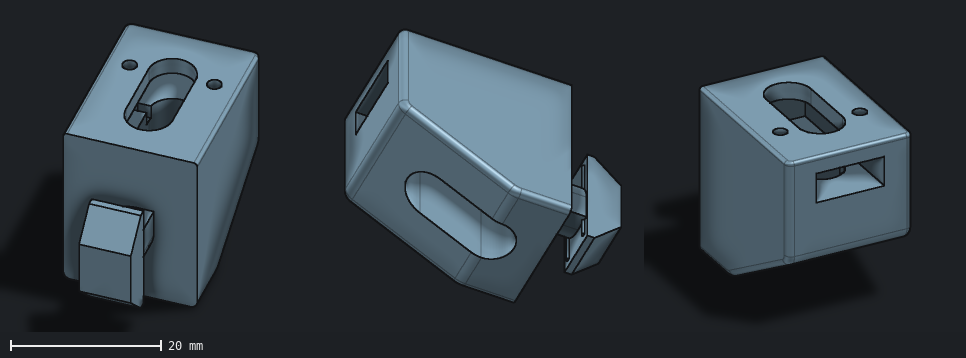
import cadquery as cq
import math

body_width = 19.0
body_depth = 25.0
body_height = 25.0
flat_bottom_depth = 8.25
underside_angle = math.radians(30)
back_corner_radius = 2.0
bottom_corner_radius = 3.0
side_edge_radius = 1.0
top_edge_radius = 0.52

slot_width = 6.65
slot_length = 15.65
slot_center_y = 11.97
roof_thickness = 2.5
channel_width = 10.25
channel_height = 4.4
channel_front_wall = 2.5
channel_top = body_height - roof_thickness
channel_floor = channel_top - channel_height
notch_length = 1.55
notch_depth = 2.1

pin_hole_diameter = 2.0
pin_hole_x = 6.0
pin_hole_y = 16.4

total_depth = 34.9
head_thickness = 5.0
head_width = 7.33
head_height = 16.0
head_rim = 1.05
key_center_z = 11.03
neck_width = slot_width
neck_height = 7.95
neck_corner_radius = 4.05
key_length = total_depth - body_depth
neck_length = key_length - head_thickness

ridge_radius = 0.28
ridge_length = 13.45
ridge_x = 2.48


def centered_box(width, y_start, y_end, z_start, z_end):
    """Box centred on X, given by its Y and Z limits."""
    return cq.Workplane("XY").box(
        width, y_end - y_start, z_end - z_start, centered=(True, False, False)
    ).translate((0, y_start, z_start))


def make_body():
    slope_rise = (body_depth - flat_bottom_depth) * math.tan(underside_angle)
    block = (
        cq.Workplane("YZ")
        .polyline([
            (0, 0),
            (flat_bottom_depth, 0),
            (body_depth, slope_rise),
            (body_depth, body_height),
            (0, body_height),
        ])
        .close()
        .extrude(body_width / 2, both=True)
    )
    back_corner = cq.selectors.NearestToPointSelector((0, body_depth, slope_rise))
    bottom_corner = cq.selectors.NearestToPointSelector((0, flat_bottom_depth, 0))
    block = block.edges(back_corner).fillet(back_corner_radius)
    block = block.edges(bottom_corner).fillet(bottom_corner_radius)

    block = block.faces("<X or >X").edges("not (<Y or >Z)").fillet(side_edge_radius)
    return block.faces(">Z").edges("not <Y").fillet(top_edge_radius)


def make_screw_slot():
    return (
        cq.Workplane("XY")
        .center(0, slot_center_y)
        .slot2D(slot_length, slot_width, 90)
        .extrude(body_height)
    )


def make_nut_channel():
    """Channel open at the back, with a cross notch in its floor in line with the pin holes."""
    channel = centered_box(channel_width, channel_front_wall, body_depth, channel_floor, channel_top)
    notch = centered_box(
        channel_width,
        pin_hole_y - notch_length / 2,
        pin_hole_y + notch_length / 2,
        channel_floor - notch_depth,
        channel_floor,
    )
    return channel.union(notch)


def make_pin_holes():
    return (
        cq.Workplane("XY", origin=(0, 0, channel_top))
        .pushPoints([(-pin_hole_x, pin_hole_y), (pin_hole_x, pin_hole_y)])
        .circle(pin_hole_diameter / 2)
        .extrude(roof_thickness)
    )


def make_neck():
    """Neck with two diagonally opposite corners rounded so that the key can turn in its groove."""
    neck = centered_box(
        neck_width, -neck_length, 0, key_center_z - neck_height / 2, key_center_z + neck_height / 2
    )
    neck = neck.edges("|Y and <X and >Z").fillet(neck_corner_radius)
    return neck.edges("|Y and >X and <Z").fillet(neck_corner_radius)


def make_head():
    half_height = head_height / 2
    taper = head_thickness - head_rim
    return (
        cq.Workplane("YZ", origin=(0, -neck_length, key_center_z))
        .polyline([
            (0, -half_height),
            (0, half_height),
            (-head_rim, half_height),
            (-head_thickness, half_height - taper),
            (-head_thickness, taper - half_height),
            (-head_rim, -half_height),
        ])
        .close()
        .extrude(head_width / 2, both=True)
    )


def make_ridges():
    return (
        cq.Workplane("XY", origin=(0, -neck_length, key_center_z))
        .pushPoints([(-ridge_x, 0), (ridge_x, 0)])
        .circle(ridge_radius)
        .extrude(ridge_length / 2, both=True)
    )


body = make_body().cut(make_screw_slot()).cut(make_nut_channel()).cut(make_pin_holes())
result = body.union(make_neck()).union(make_head()).union(make_ridges())